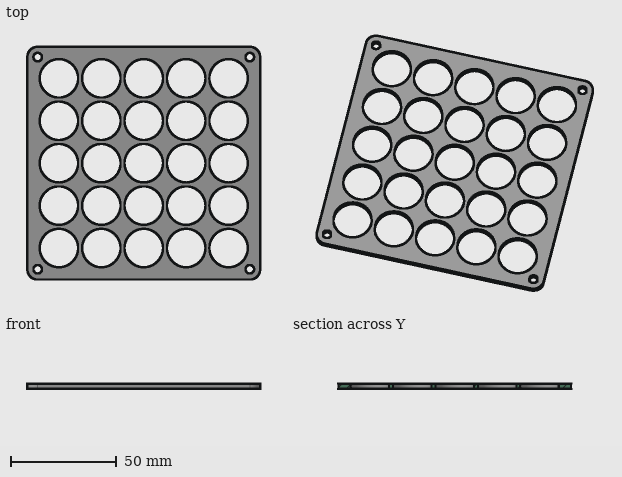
import cadquery as cq

side = 110.0
thickness = 2.5
corner_radius = 5.0

openings_per_side = 5
opening_pitch = 20.0
opening_diameter = 18.0

screw_hole_diameter = 4.0
screw_hole_spacing = side - 2 * corner_radius

plate = (
    cq.Workplane("XY")
    .box(side, side, thickness)
    .edges("|Z")
    .fillet(corner_radius)
)

plate_with_openings = (
    plate.faces(">Z")
    .workplane()
    .rarray(opening_pitch, opening_pitch, openings_per_side, openings_per_side)
    .hole(opening_diameter)
)

result = (
    plate_with_openings.faces(">Z")
    .workplane()
    .rect(screw_hole_spacing, screw_hole_spacing, forConstruction=True)
    .vertices()
    .hole(screw_hole_diameter)
)